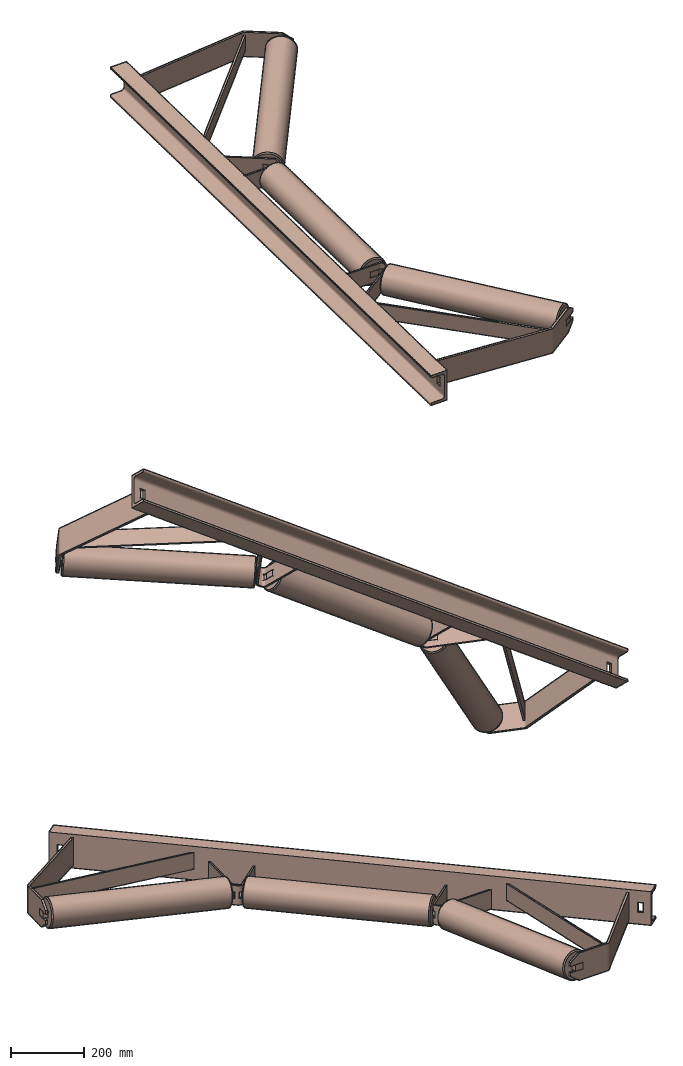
import cadquery as cq
import math

BEAM_LENGTH = 1700.0
BEAM_HEIGHT = 100.0
BEAM_DEPTH = 51.0
WEB_THICKNESS = 8.0
FLANGE_THICKNESS = 8.0
ROOT_RADIUS = 8.0
TOE_RADIUS = 5.0
MOUNT_SLOT_WIDTH = 15.0
MOUNT_SLOT_HEIGHT = 29.0
MOUNT_SLOT_INSET = 30.0

ROLLER_DIAMETER = 88.0
ROLLER_LENGTH = 530.0
ROLLER_EDGE_CHAMFER = 3.0
SHAFT_WIDTH = 27.0
SHAFT_THICKNESS = 19.0
SLOT_LENGTH_RATIO = 3
TROUGH_ANGLE = 35.0
FORWARD_TILT = 2.0
CENTRE_ROLLER_Y = 115.0
ROLLER_BELOW_BEAM = 14.0
WING_INNER_X = 313.0
WING_INNER_Y = 130.0

BEND_RADIUS = 8.0
INNER_GAP = 3.0
OUTER_GAP = 8.0
OUTER_THICKNESS = 7.0
INNER_THICKNESS = 5.0
OUTER_PLATE_HEIGHT = 82.0
OUTER_FOOT_X = 784.0
OUTER_BEND_Y = 354.0
OUTER_TIP_Y = 465.0
TIP_CHAMFER_ALONG = 30.0
TIP_CHAMFER_ACROSS = 20.0
INNER_PLATE_HEIGHT = 58.0
INNER_LEG_TOP = 143.0
BRACE_THICKNESS = 6.0
BRACE_HEIGHT = 50.0
BRACE_FOOT_X = 445.0
BRACE_TOP_Y = 357.0
BRACE_CENTRE_Z = 7.0

roller_drop = BEAM_HEIGHT / 2 + ROLLER_BELOW_BEAM - ROLLER_DIAMETER / 2

trough = math.radians(TROUGH_ANGLE)
tilt = math.radians(FORWARD_TILT)

inner_plate_station = ROLLER_LENGTH / 2 + INNER_GAP + INNER_THICKNESS / 2
outer_plate_station = ROLLER_LENGTH / 2 + OUTER_GAP + OUTER_THICKNESS / 2
inner_shaft_end = inner_plate_station + INNER_THICKNESS / 2
outer_shaft_end = outer_plate_station + OUTER_THICKNESS / 2

wing_axis = cq.Vector(
    -math.cos(trough) * math.cos(tilt), math.sin(trough) * math.cos(tilt), math.sin(tilt)
)
wing_up = cq.Vector(math.sin(trough), math.cos(trough), 0)
wing_centre = cq.Vector(-WING_INNER_X, WING_INNER_Y, -roller_drop) + wing_axis * (ROLLER_LENGTH / 2)
wing_plane = cq.Plane(origin=wing_centre, xDir=wing_axis, normal=wing_axis.cross(wing_up))
centre_plane = cq.Plane(origin=(0, CENTRE_ROLLER_Y, -roller_drop))


def make_beam():
    """Channel with rounded roots and flange toes, and one mounting slot through the web at each end."""
    profile = [
        (0, -BEAM_HEIGHT / 2),
        (0, BEAM_HEIGHT / 2),
        (-BEAM_DEPTH, BEAM_HEIGHT / 2),
        (-BEAM_DEPTH, BEAM_HEIGHT / 2 - FLANGE_THICKNESS),
        (-WEB_THICKNESS, BEAM_HEIGHT / 2 - FLANGE_THICKNESS),
        (-WEB_THICKNESS, FLANGE_THICKNESS - BEAM_HEIGHT / 2),
        (-BEAM_DEPTH, FLANGE_THICKNESS - BEAM_HEIGHT / 2),
        (-BEAM_DEPTH, -BEAM_HEIGHT / 2),
    ]
    beam = (
        cq.Workplane("YZ", origin=(-BEAM_LENGTH / 2, 0, 0))
        .polyline(profile)
        .close()
        .extrude(BEAM_LENGTH)
    )
    for y, radius in ((-WEB_THICKNESS, ROOT_RADIUS), (-BEAM_DEPTH, TOE_RADIUS)):
        for side in (-1, 1):
            corner = (0, y, side * (BEAM_HEIGHT / 2 - FLANGE_THICKNESS))
            beam = beam.edges(cq.selectors.NearestToPointSelector(corner)).fillet(radius)
    slot_x = BEAM_LENGTH / 2 - MOUNT_SLOT_INSET
    slots = (
        cq.Workplane("XZ")
        .pushPoints([(-slot_x, 0), (slot_x, 0)])
        .rect(MOUNT_SLOT_WIDTH, MOUNT_SLOT_HEIGHT)
        .extrude(BEAM_DEPTH, both=True)
    )
    return beam.cut(slots)


def make_roller(plane, shaft_start, shaft_end):
    """Plain roller about the plane's x axis, its flat-sided shaft running between two stations."""
    shell = (
        cq.Workplane("YZ", origin=(-ROLLER_LENGTH / 2, 0, 0))
        .circle(ROLLER_DIAMETER / 2)
        .extrude(ROLLER_LENGTH)
        .edges()
        .chamfer(ROLLER_EDGE_CHAMFER)
    )
    shaft = (
        cq.Workplane("YZ", origin=(shaft_start, 0, 0))
        .rect(SHAFT_WIDTH, SHAFT_THICKNESS)
        .extrude(shaft_end - shaft_start)
    )
    return cq.Workplane(shell.union(shaft).val().moved(cq.Location(plane)))


def make_shaft_slot(plane, station, thickness):
    """Cutter that fits a shaft where it crosses a plate and runs out through the plate tip."""
    slot_length = SLOT_LENGTH_RATIO * SHAFT_WIDTH
    slot = (
        cq.Workplane("YZ", origin=(station - thickness, 0, 0))
        .center((slot_length - SHAFT_WIDTH) / 2, 0)
        .rect(slot_length, SHAFT_THICKNESS)
        .extrude(2 * thickness)
    )
    return cq.Workplane(slot.val().moved(cq.Location(plane)))


def make_bent_plate(path, thickness, height, centre_z):
    """Plate of constant thickness along a path, bends rounded, foot trimmed at y = 0."""
    points = [cq.Vector(x, y, 0) for x, y in path]
    normals = []
    for start, end in zip(points, points[1:]):
        direction = (end - start).normalized()
        normals.append(cq.Vector(-direction.y, direction.x, 0))
    offsets = [normals[0]]
    for before, after in zip(normals, normals[1:]):
        offsets.append((before + after) / (1 + before.dot(after)))
    offsets.append(normals[-1])

    left = [point + offset * thickness / 2 for point, offset in zip(points, offsets)]
    right = [point - offset * thickness / 2 for point, offset in zip(points, offsets)]
    outline = [corner.toTuple()[:2] for corner in left + right[::-1]]
    plate = (
        cq.Workplane("XY", origin=(0, 0, centre_z - height / 2))
        .polyline(outline)
        .close()
        .extrude(height)
    )
    for first, second, before, after in zip(left[1:-1], right[1:-1], normals, normals[1:]):
        turns_left = before.cross(after).z > 0
        inside, outside = (first, second) if turns_left else (second, first)
        for corner, radius in ((inside, BEND_RADIUS), (outside, BEND_RADIUS + thickness)):
            plate = plate.edges(cq.selectors.NearestToPointSelector((corner.x, corner.y, centre_z)))
            plate = plate.fillet(radius)
    behind_beam = cq.Workplane("XY").box(2 * BEAM_LENGTH, BEAM_LENGTH, BEAM_LENGTH)
    return plate.intersect(behind_beam.translate((0, BEAM_LENGTH / 2, 0)))


def wing_plate_point(station, y):
    """Point at a given y on the centreline of the plate that crosses the left wing roller axis."""
    crossing = wing_centre + wing_axis * station
    return (crossing.x + (y - crossing.y) * math.tan(trough), y)


def make_outer_bracket():
    """Left outer post: a steep leg on the beam, bent inward to hold the wing roller's outer end."""
    bend = wing_plate_point(outer_plate_station, OUTER_BEND_Y)
    tip = wing_plate_point(outer_plate_station, OUTER_TIP_Y)
    slope = (bend[0] + OUTER_FOOT_X) / OUTER_BEND_Y
    foot = (-OUTER_FOOT_X - slope * OUTER_THICKNESS, -OUTER_THICKNESS)
    bracket = make_bent_plate([foot, bend, tip], OUTER_THICKNESS, OUTER_PLATE_HEIGHT, 0)
    face = cq.Plane(origin=(*tip, 0), xDir=wing_up, normal=wing_up.cross(cq.Vector(0, 0, 1)))
    edge = OUTER_PLATE_HEIGHT / 2
    for end in (-1, 1):
        corner = (
            cq.Workplane(face)
            .polyline(
                [
                    (-TIP_CHAMFER_ALONG, end * edge),
                    (TIP_CHAMFER_ALONG, end * (edge - 2 * TIP_CHAMFER_ACROSS)),
                    (TIP_CHAMFER_ALONG, end * edge),
                ]
            )
            .close()
            .extrude(2 * OUTER_THICKNESS, both=True)
        )
        bracket = bracket.cut(corner)
    return bracket.cut(make_shaft_slot(wing_plane, outer_plate_station, OUTER_THICKNESS))


def make_inner_bracket():
    """Left inner hoop: one leg holds the wing roller, a short bridge, one leg holds the centre roller."""
    leg_x = -inner_plate_station
    path = [
        wing_plate_point(-inner_plate_station, -INNER_THICKNESS),
        wing_plate_point(-inner_plate_station, INNER_LEG_TOP),
        (leg_x, INNER_LEG_TOP),
        (leg_x, -INNER_THICKNESS),
    ]
    bracket = make_bent_plate(path, INNER_THICKNESS, INNER_PLATE_HEIGHT, -roller_drop)
    bracket = bracket.cut(make_shaft_slot(wing_plane, -inner_plate_station, INNER_THICKNESS))
    return bracket.cut(make_shaft_slot(centre_plane, -inner_plate_station, INNER_THICKNESS))


def make_brace(outer_bracket):
    """Straight strut from the beam up to the bend of the left outer bracket, trimmed to its surface."""
    top = wing_plate_point(outer_plate_station, BRACE_TOP_Y)
    slope = (top[0] + BRACE_FOOT_X) / BRACE_TOP_Y
    foot = (-BRACE_FOOT_X - slope * BRACE_THICKNESS, -BRACE_THICKNESS)
    brace = make_bent_plate([foot, top], BRACE_THICKNESS, BRACE_HEIGHT, BRACE_CENTRE_Z)
    return brace.cut(outer_bracket)


beam = make_beam()
centre_roller = make_roller(centre_plane, -inner_shaft_end, inner_shaft_end)
wing_roller = make_roller(wing_plane, -inner_shaft_end, outer_shaft_end)
outer_bracket = make_outer_bracket()
inner_bracket = make_inner_bracket()
brace = make_brace(outer_bracket)

solids = [beam.solids().val(), centre_roller.solids().val()]
for left_body in (wing_roller, outer_bracket, inner_bracket, brace):
    solids.append(left_body.solids().val())
    solids.append(left_body.mirror("YZ").solids().val())

result = cq.Compound.makeCompound(solids)